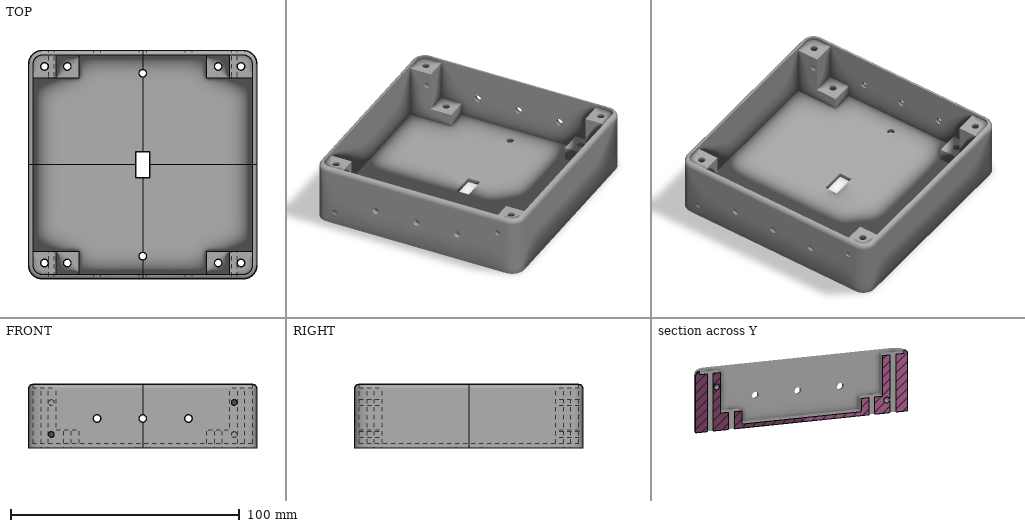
import cadquery as cq

side = 100.0
height = 28.0
wall = 2.0
floor = 2.0
corner_radius = 6.0
rim_radius = 2.0

block_size = 10.0
post_top = 26.4
low_block_top = 8.0

screw_diameter = 3.2

window_x = 6.1
window_y = 11.2

floor_hole_offset = 40.0
wall_hole_offset = 20.0
wall_hole_z = 13.0

cross_diameter = 2.5
cross_offset = 40.0
cross_low_z = 6.0
cross_high_z = 20.0

half = side / 2
inner_half = half - wall
post_center = inner_half - block_size / 2
low_block_center = post_center - block_size
corners = [(sx, sy) for sx in (-1, 1) for sy in (-1, 1)]


def corner_points(x, y):
    """The point (x, y) mirrored into all four corners."""
    return [(sx * x, sy * y) for sx, sy in corners]


def rounded_block(width, radius, bottom, top):
    """Square block centred on Z with rounded vertical edges."""
    block = cq.Workplane("XY", origin=(0, 0, bottom)).rect(width, width).extrude(top - bottom)
    return block.edges("|Z").fillet(radius)


def tray():
    """Open box whose outer top edge is rounded over to the inner wall."""
    outside = rounded_block(side, corner_radius, 0, height).faces(">Z").edges().fillet(rim_radius)
    return outside.cut(rounded_block(2 * inner_half, corner_radius - wall, floor, height))


def screw_blocks():
    """Tall posts and low blocks, trimmed to the rounded inside of the tray."""
    tall = cq.Workplane("XY").pushPoints(corner_points(post_center, post_center))
    tall = tall.rect(block_size, block_size).extrude(post_top)
    low = cq.Workplane("XY").pushPoints(corner_points(low_block_center, post_center))
    low = low.rect(block_size, block_size).extrude(low_block_top)
    return tall.union(low).intersect(rounded_block(2 * inner_half, corner_radius - wall, 0, height))


def vertical_holes(points):
    """Screw-sized holes along Z through the full height."""
    return cq.Workplane("XY").pushPoints(points).circle(screw_diameter / 2).extrude(height)


def block_holes():
    points = corner_points(post_center, post_center) + corner_points(low_block_center, post_center)
    return vertical_holes(points)


def floor_openings():
    """Central window and the two round holes on the X = 0 seam."""
    window = cq.Workplane("XY").rect(window_x, window_y).extrude(floor)
    return window.union(vertical_holes([(0, -floor_hole_offset), (0, floor_hole_offset)]))


def wall_holes():
    """Screw-sized holes along Y through both walls, the middle one on the X = 0 seam."""
    points = [(x, wall_hole_z) for x in (-wall_hole_offset, 0, wall_hole_offset)]
    plane = cq.Workplane("XZ", origin=(0, half, 0))
    return plane.pushPoints(points).circle(screw_diameter / 2).extrude(side)


def cross_hole(sx, sy):
    """Small hole along Y in one corner; diagonally opposite corners share a height."""
    z = cross_low_z if sx == sy else cross_high_z
    direction = cq.Vector(0, -sy, 0)
    start = cq.Vector(sx * cross_offset, sy * half, z)
    return cq.Workplane(cq.Solid.makeCylinder(cross_diameter / 2, wall + block_size, start, direction))


def quarter(box, sx, sy):
    """The piece of the whole box that lies in one quadrant."""
    quadrant = cq.Workplane("XY").center(sx * half / 2, sy * half / 2).rect(half, half).extrude(height)
    return box.intersect(quadrant)


whole_box = tray().union(screw_blocks())
for cutter in (block_holes(), floor_openings(), wall_holes()):
    whole_box = whole_box.cut(cutter)
for sx, sy in corners:
    whole_box = whole_box.cut(cross_hole(sx, sy))

corner_pieces = [quarter(whole_box, sx, sy) for sx, sy in corners]

result = cq.Compound.makeCompound([piece.val() for piece in corner_pieces])